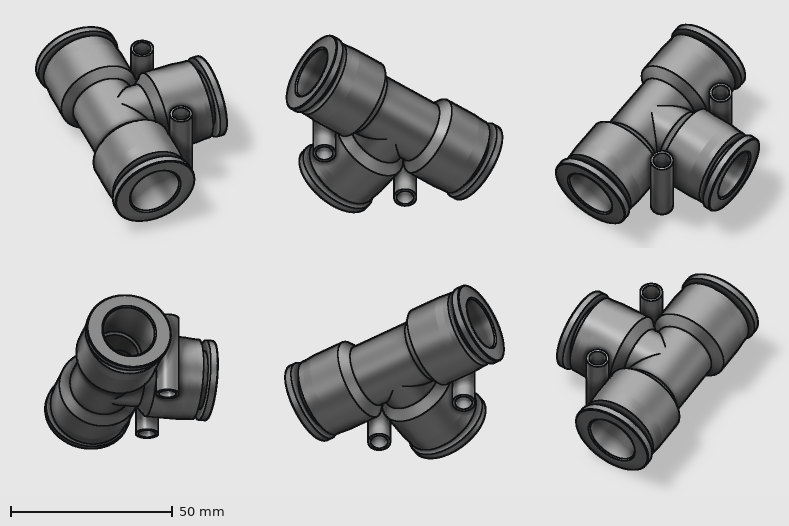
import cadquery as cq

run_reach = 31.95
branch_reach = 32.19

pipe_diameter = 19.9
pipe_radius = pipe_diameter / 2

flange_width = 26.7
flange_height = 24.56
flange_thickness = 2.35
flange_chamfer = 0.25

collar_diameter = 18.2
collar_radius = collar_diameter / 2

barrel_diameter = 25.5
taper_diameter = 25.0
lip_diameter = 24.9
barrel_radius = barrel_diameter / 2
taper_radius = taper_diameter / 2
lip_radius = lip_diameter / 2

lip_front = 4.45
lip_back = 4.8
taper_break = 6.3
barrel_front = 9.0
barrel_back = 19.2

shoulder_start = 10.08

tube_bore_diameter = 16.3
flow_bore_diameter = 14.0
tube_stop = barrel_back
bore_chamfer = 0.45

eyelet_outer_diameter = 7.0
eyelet_hole_diameter = 5.3
eyelet_x = 15.5
eyelet_y = 15.65


def revolved_about_x(points):
    """Solid of revolution about the X axis from (x, radius) points."""
    return cq.Workplane("XY").polyline(points).close().revolve(360, (0, 0, 0), (1, 0, 0))


def port_solid(reach):
    """Solid port along +X: shoulder, barrel, tapers, lip, collar and oval flange."""
    flange_back = reach - flange_thickness
    body = revolved_about_x([
        (shoulder_start, 0),
        (shoulder_start, pipe_radius),
        (reach - barrel_back, barrel_radius),
        (reach - barrel_front, barrel_radius),
        (reach - taper_break, taper_radius),
        (reach - lip_back, lip_radius),
        (reach - lip_front, lip_radius),
        (reach - lip_front, collar_radius),
        (flange_back, collar_radius),
        (flange_back, 0),
    ])
    flange = (
        cq.Workplane("YZ", origin=(flange_back, 0, 0))
        .ellipse(flange_width / 2, flange_height / 2)
        .extrude(flange_thickness)
        .faces(">X")
        .chamfer(flange_chamfer)
    )
    return body.union(flange)


def port_bore(reach):
    """Stepped bore along +X: flow passage, tube socket and chamfered entry."""
    flow_radius = flow_bore_diameter / 2
    tube_radius = tube_bore_diameter / 2
    return revolved_about_x([
        (0, 0),
        (0, flow_radius),
        (reach - tube_stop, flow_radius),
        (reach - tube_stop, tube_radius),
        (reach - bore_chamfer, tube_radius),
        (reach, tube_radius + bore_chamfer),
        (reach, 0),
    ])


def tee_pipes():
    """Straight run pipe along X with the branch pipe leaving it toward +Y."""
    run_pipe = (
        cq.Workplane("YZ", origin=(-shoulder_start, 0, 0))
        .circle(pipe_radius)
        .extrude(2 * shoulder_start)
    )
    branch_pipe = cq.Workplane("XZ").circle(pipe_radius).extrude(-shoulder_start)
    return run_pipe.union(branch_pipe)


def turned(shape, angle):
    """Turn a port from +X to its own direction about the vertical axis."""
    return shape.rotate((0, 0, 0), (0, 0, 1), angle)


def eyelet_cylinders(diameter):
    """Pair of vertical cylinders, as tall as the barrel, at the eyelet positions."""
    return (
        cq.Workplane("XY", origin=(0, 0, -barrel_radius))
        .pushPoints([(-eyelet_x, eyelet_y), (eyelet_x, eyelet_y)])
        .circle(diameter / 2)
        .extrude(barrel_diameter)
    )


ports = [
    (0, run_reach),
    (180, run_reach),
    (90, branch_reach),
]

result = tee_pipes()
for angle, reach in ports:
    result = result.union(turned(port_solid(reach), angle))
result = result.union(eyelet_cylinders(eyelet_outer_diameter))
for angle, reach in ports:
    result = result.cut(turned(port_bore(reach), angle))
result = result.cut(eyelet_cylinders(eyelet_hole_diameter))